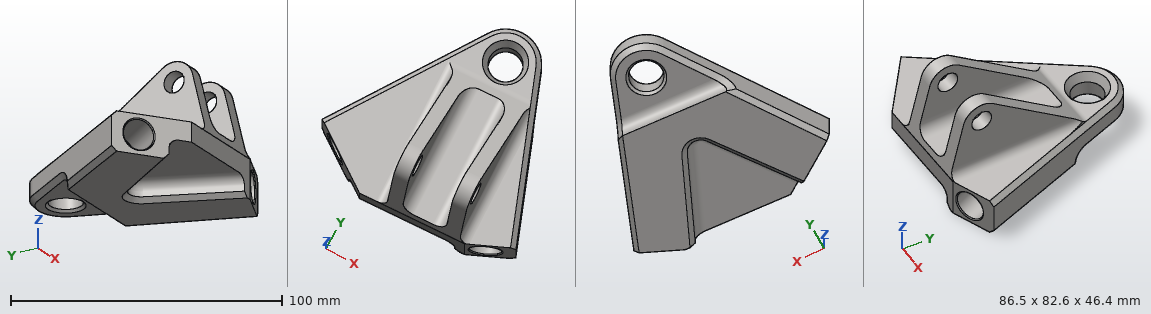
import cadquery as cq
import math


overall_height = 46.35
base_height = 16.0
eye_radius = 13.3
edge_chamfer = 2.0
left_rear = (-49.7, -50.6)
left_front = (-23.95, -69.3)
right_front = (19.3, -68.0)
right_rear = (36.75, -60.5)

eye_hole_diameter = 13.0
eye_sink_diameter = 17.0
eye_sink_depth = 3.55
eye_lower_chamfer = 1.0

clevis_turn = math.degrees(
    math.atan2(right_front[1] - left_front[1], right_front[0] - left_front[0])
)
clevis_width = 30.0
gap_width = 18.0
gap_floor_rise = 3.0
gap_floor = base_height + gap_floor_rise
gap_fillet = 5.0
foot_fillet = 4.0
clevis_rear = -9.95
clevis_front = -68.5
tip_y = -54.7
tip_radius = 8.0
tip_z = overall_height - tip_radius
pin_hole_diameter = 8.5

pad_underside = 5.3
pad_step = -15.6
pocket_depth = 8.0
pocket_left_offset = 9.0
pocket_right_offset = 4.15
pocket_corner_radius = 5.0
pocket_fillet = 4.0
pocket_chamfer = 2.0

bore_diameter = 12.0
bore_depth = 20.0
bore_chamfer = 0.4
left_bore_offset = 10.9
right_bore_offset = 11.2

clearance = 86.5
match_margin = 0.04


def move(point, direction, distance):
    return tuple(p + d * distance for p, d in zip(point, direction))


def unit(start, end):
    length = math.dist(start, end)
    return tuple((b - a) / length for a, b in zip(start, end))


def tangent_point(point, center, radius, side):
    """Touch point on a circle of the tangent from an outside point; side is +1 or -1."""
    angle = math.atan2(point[1] - center[1], point[0] - center[0])
    angle += side * math.acos(radius / math.dist(point, center))
    return move(center, (math.cos(angle), math.sin(angle)), radius)


def crossing(p, d, q, e):
    """Meeting point of the line through p along d with the line through q along e."""
    cross = d[0] * e[1] - d[1] * e[0]
    along = ((q[0] - p[0]) * e[1] - (q[1] - p[1]) * e[0]) / cross
    return move(p, d, along)


def turned(body):
    return body.rotate((0, 0, 0), (0, 0, 1), clevis_turn)


left_face_dir = unit(left_rear, left_front)
right_face_dir = unit(right_rear, right_front)
left_inward = (-left_face_dir[1], left_face_dir[0])
right_inward = (right_face_dir[1], -right_face_dir[0])

left_touch = tangent_point(left_rear, (0, 0), eye_radius, -1)
right_touch = tangent_point(right_rear, (0, 0), eye_radius, 1)


def base_outline(inset=0):
    """Plan outline of the base, with the long sides and the eye moved inward by the inset."""
    radius = eye_radius - inset
    return (
        cq.Workplane("XY").moveTo(*move(left_rear, left_face_dir, inset))
        .lineTo(*left_front).lineTo(*right_front)
        .lineTo(*move(right_rear, right_face_dir, inset))
        .lineTo(*(c * radius / eye_radius for c in right_touch))
        .threePointArc((0, radius), tuple(c * radius / eye_radius for c in left_touch))
        .close()
    )


def pad_relief():
    """Rear underside cut, with a rounded inner corner at its step."""
    return turned(
        cq.Workplane("YZ").moveTo(pad_step, -clearance)
        .lineTo(pad_step, pad_underside - foot_fillet)
        .radiusArc((pad_step + foot_fillet, pad_underside), foot_fillet)
        .lineTo(clearance, pad_underside).lineTo(clearance, -clearance).close()
        .extrude(clearance, both=True)
    )


def side_edges(plate, on_outer_face):
    """Edges of the two long sides and the eye, on the outer flat faces or along the pad relief."""
    def on_side(edge):
        middle = edge.positionAt(0.5)
        here = (middle.x, middle.y)
        if abs(math.hypot(*here) - eye_radius) < match_margin and here[1] > 0:
            return True
        for start, end in ((left_rear, left_touch), (right_rear, right_touch)):
            along = unit(start, end)
            offset = (here[0] - start[0]) * along[1] - (here[1] - start[1]) * along[0]
            ends_on_front = math.dist(here, start) < match_margin
            if abs(offset) < match_margin and not ends_on_front:
                return True
        return False

    def at_tangency(edge):
        middle = edge.positionAt(0.5)
        here = (middle.x, middle.y)
        return min(math.dist(here, left_touch), math.dist(here, right_touch)) < match_margin

    def is_outer(edge):
        z = edge.positionAt(0.5).z
        return min(z, base_height - z) < match_margin

    return [
        e for e in plate.edges().vals()
        if on_side(e) and not at_tangency(e) and is_outer(e) == on_outer_face
    ]


def clevis():
    """Two pinned lugs: a filleted cross-section trimmed to the side outline of the lugs."""
    half = clevis_width / 2
    foot = half + foot_fillet
    tip = (tip_y, tip_z)
    rear = (clevis_rear, base_height)
    front = (clevis_front, base_height)
    rear_touch = tangent_point(rear, tip, tip_radius, 1)
    front_touch = tangent_point(front, tip, tip_radius, -1)
    slope = unit(rear, rear_touch)
    reach = foot_fillet * math.tan(math.atan2(slope[1], -slope[0]) / 2)
    side = (
        cq.Workplane("YZ").moveTo(clevis_front, 0).lineTo(*front).lineTo(*front_touch)
        .threePointArc((tip_y, overall_height), rear_touch)
        .lineTo(*move(rear, slope, reach))
        .radiusArc((clevis_rear + reach, base_height), -foot_fillet)
        .lineTo(clevis_rear + reach, 0).close().extrude(clearance, both=True)
    )
    section = (
        cq.Workplane("XZ").moveTo(-foot, pad_underside).lineTo(-foot, base_height)
        .radiusArc((-half, base_height + foot_fillet), -foot_fillet)
        .lineTo(-half, overall_height).lineTo(half, overall_height)
        .lineTo(half, base_height + foot_fillet)
        .radiusArc((foot, base_height), -foot_fillet)
        .lineTo(foot, pad_underside).close().extrude(clearance)
    )
    gap = (
        cq.Workplane("XY").box(gap_width, 2 * clearance, clearance, centered=(True, True, False))
        .translate((0, 0, gap_floor)).edges("|Y and <Z").fillet(gap_fillet)
    )
    pin_hole = (
        cq.Workplane("YZ").center(*tip).circle(pin_hole_diameter / 2)
        .extrude(clearance, both=True)
    )
    return turned(side.intersect(section).cut(gap).cut(pin_hole))


def corner_pocket():
    """Underside corner pocket whose walls stand square to the two slanted front faces."""
    left_start = move(left_front, left_face_dir, -pocket_left_offset)
    right_start = move(right_front, unit(right_front, left_front), pocket_right_offset)
    corner = crossing(left_start, left_inward, right_start, right_inward)
    reach = math.dist(corner, left_start) + clearance
    pocket = (
        cq.Workplane("XY").moveTo(*corner)
        .lineTo(*move(corner, left_inward, -reach))
        .lineTo(*move(corner, right_inward, -reach))
        .close().extrude(pocket_depth)
    )
    pocket = pocket.edges(cq.NearestToPointSelector((*corner, pocket_depth / 2)))
    pocket = pocket.fillet(pocket_corner_radius)
    rim = (
        pocket.faces("<Z").wires().toPending().offset2D(pocket_chamfer, "intersection")
        .extrude(pocket_chamfer, taper=45, combine=False)
    )
    return pocket.faces(">Z").edges().fillet(pocket_fillet).union(rim)


def blind_bore(mouth, inward):
    """Flat-bottomed bore with a chamfered mouth, square to a slanted face."""
    across = (inward[1], -inward[0], 0)
    plane = cq.Plane((*mouth, base_height / 2), xDir=across, normal=(0, 0, 1))
    radius = bore_diameter / 2
    return (
        cq.Workplane(plane).lineTo(radius + bore_chamfer, 0)
        .lineTo(radius, bore_chamfer).lineTo(radius, bore_depth)
        .lineTo(0, bore_depth).close().revolve(360, (0, 0, 0), (0, 1, 0))
    )


def eye_hole():
    """Through hole with a countersink above and a small chamfer below."""
    radius = eye_hole_diameter / 2
    sink = eye_sink_diameter / 2
    return (
        cq.Workplane("XZ").moveTo(0, pad_underside)
        .lineTo(radius + eye_lower_chamfer, pad_underside)
        .lineTo(radius, pad_underside + eye_lower_chamfer)
        .lineTo(radius, base_height - eye_sink_depth).lineTo(sink, base_height)
        .lineTo(0, base_height).close().revolve(360, (0, 0, 0), (0, 1, 0))
    )


plate = base_outline().extrude(base_height).cut(pad_relief())
for on_outer_face in (False, True):
    plate = plate.newObject(side_edges(plate, on_outer_face)).chamfer(edge_chamfer)
top_column = base_outline(edge_chamfer).extrude(clearance)
result = plate.union(clevis().intersect(top_column))
result = result.cut(corner_pocket()).cut(eye_hole())
result = result.cut(blind_bore(move(left_rear, left_face_dir, left_bore_offset), left_inward))
result = result.cut(blind_bore(move(right_rear, right_face_dir, right_bore_offset), right_inward))